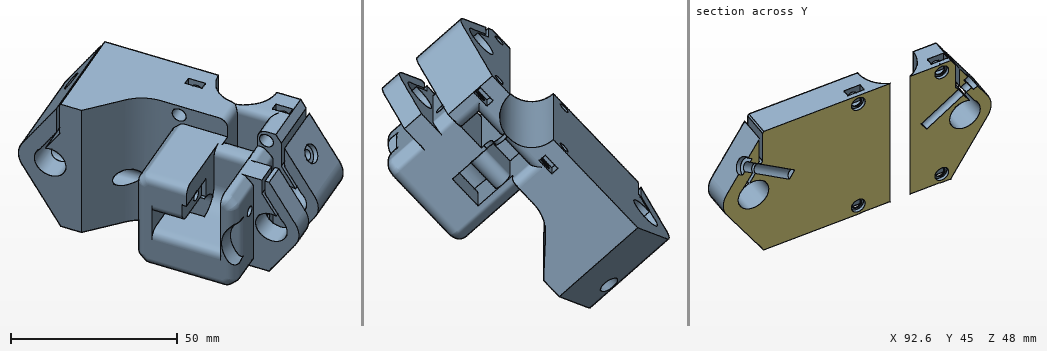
import cadquery as cq
import math

half_height = 24.0
plate_depth = 18.0
arm_depth = 32.0
total_depth = 45.0

bar_middle_x = 0.7
bar_half_spacing = 36.5
bar_hole_radius = 5.2
arm_reach = 46.3
arm_tip_radius = 7.6
shoulder_x = 32.3
clamp_screw_y = -9.0
left_clamp_screw_z = 13.0
right_clamp_screw_z = 12.2
screw_diameter = 3.3
screw_head_diameter = 6.0
clamp_head_depth = 1.65
clamp_screw_length = 20.0
slit_inner_x = 33.4
slit_outer_x = 34.45
slit_inner_offset = 4.0
slit_outer_offset = 5.0

blend_radius = 14.0
blend_end_x = -5.6

trough_x = 14.8
trough_radius = 9.6

box_x = trough_x
box_width = 33.1
box_height = 35.0
box_corner_chamfer = 3.0
box_corner_radius = 2.0
edge_radius = 3.1

lug_back = 25.0

strap_left = 3.7
strap_right = 26.3
plate_channel_left = 16.4
box_split_x = 15.1
channel_back = 11.0
mouth_radius = 3.0
ridge_back = 19.0
ridge_front = 25.0
slot_half_height = 3.5
bend_radius = arm_depth - ridge_front
left_channel_top = 0.0

ridge_screw_y = -22.0
ridge_screw_z = -6.5
ridge_head_depth = 2.0
pin_y = -34.9
pin_z = 6.5
pin_nut_diameter = 6.9
pin_nut_depth = 10.0
pin_boss_diameter = 4.6
pin_boss_height = 1.2
washer_notch_radius = 4.0
washer_notch_depth = 1.4

mount_spacing_x = 28.8
mount_z = 20.5
mount_diameter = 3.4
mount_entry_diameter = 4.6
mount_entry_depth = 10.0
nut_width = 5.6
nut_thickness = 2.5
nut_back = 5.1
nut_pocket_depth = 6.3

clearance_depth = 4.5
clearance_radius = 9.6
clearance_front_radius = 10.5
clearance_edge_radius = 1.2

ridge_radius = (ridge_front - ridge_back) / 2
ridge_middle_y = -(ridge_back + ridge_front) / 2

box_left = box_x - box_width / 2
box_right = box_x + box_width / 2
box_half_height = box_height / 2

arm_tip_x = arm_reach - arm_tip_radius
right_bar_x = bar_middle_x + bar_half_spacing
shoulder_dx = shoulder_x - arm_tip_x
shoulder_distance = math.hypot(shoulder_dx, half_height)
tangent_angle = math.atan2(half_height, shoulder_dx) - math.acos(arm_tip_radius / shoulder_distance)
tangent_x = arm_tip_x + arm_tip_radius * math.cos(tangent_angle)
tangent_z = arm_tip_radius * math.sin(tangent_angle)
flank_run = (tangent_x - shoulder_x) / (half_height - tangent_z)


def block(x0, x1, y0, y1, z0, z1):
    """Axis-aligned block between two corners."""
    return cq.Workplane("XY").box(x1 - x0, y1 - y0, z1 - z0, centered=False).translate((x0, y0, z0))


def rod_y(x, z, radius, front, back=0.0):
    """Cylinder along Y from depth `back` to depth `front`."""
    return (cq.Workplane("XZ", origin=(0, -back, 0)).center(x, z)
            .circle(radius).extrude(front - back))


def rod_x(y, z, diameter, x0, x1):
    """Cylinder along X."""
    return cq.Workplane("YZ", origin=(x0, 0, 0)).center(y, z).circle(diameter / 2).extrude(x1 - x0)


def side_outline(depth):
    """Full silhouette with both clamp arms, extruded forward from the back face."""
    return (cq.Workplane("XZ")
            .moveTo(-shoulder_x, half_height).lineTo(shoulder_x, half_height)
            .lineTo(tangent_x, tangent_z)
            .threePointArc((arm_reach, 0), (tangent_x, -tangent_z))
            .lineTo(shoulder_x, -half_height).lineTo(-shoulder_x, -half_height)
            .lineTo(-tangent_x, -tangent_z)
            .threePointArc((-arm_reach, 0), (-tangent_x, tangent_z))
            .close().extrude(depth))


def depth_profile():
    """Plan shape: deep left arm, 45 degree slope, concave blend, then the plate."""
    diagonal = blend_radius * math.sqrt(0.5)
    blend_start_x = blend_end_x - diagonal
    blend_start_y = -plate_depth - (blend_radius - diagonal)
    slope_start_x = blend_start_x - (arm_depth + blend_start_y)
    mid_angle = math.radians(45) / 2
    blend_mid = (blend_end_x - blend_radius * math.sin(mid_angle),
                 -plate_depth - blend_radius * (1 - math.cos(mid_angle)))
    return (cq.Workplane("XY").workplane(offset=-half_height)
            .moveTo(-arm_reach, 0).lineTo(-arm_reach, -arm_depth).lineTo(slope_start_x, -arm_depth)
            .lineTo(blend_start_x, blend_start_y)
            .threePointArc(blend_mid, (blend_end_x, -plate_depth))
            .lineTo(arm_reach, -plate_depth).lineTo(arm_reach, 0)
            .close().extrude(2 * half_height))


def plate():
    """Plate with the left arm and the strap channels, their mouths rounded."""
    body = side_outline(arm_depth).intersect(depth_profile())
    body = body.cut(block(plate_channel_left, strap_right, -plate_depth, -channel_back,
                          -half_height, half_height))
    body = body.cut(block(strap_left, strap_right, -plate_depth, -channel_back,
                          -half_height, left_channel_top))
    margin = 0.1
    for mouth_left, mouth_z in ((plate_channel_left, half_height), (strap_left, -half_height)):
        mouth = cq.selectors.BoxSelector(
            (mouth_left - margin, -plate_depth - margin, mouth_z - margin),
            (strap_right + margin, -channel_back + margin, mouth_z + margin))
        body = body.edges(mouth).fillet(mouth_radius)
    return body.union(channel_divider())


def trough():
    """Half-round trough through the full height of the back face."""
    return (cq.Workplane("XY").workplane(offset=-half_height).center(trough_x, 0)
            .circle(trough_radius).extrude(2 * half_height))


def front_box():
    """Solid box with chamfered, softened corners and a rounded front."""
    body = block(box_left, box_right, -total_depth, -plate_depth, -box_half_height, box_half_height)
    body = body.edges("|Y").chamfer(box_corner_chamfer)
    body = body.faces("<Y").edges().fillet(edge_radius)
    return body.edges("|Y").fillet(box_corner_radius)


def lug():
    """Arm between the box and the right bar, as tall as the box."""
    limits = block(strap_right, arm_reach, -arm_depth, -lug_back,
                   -box_half_height, box_half_height)
    return side_outline(arm_depth).intersect(limits)


def ridge_end(x0, x1, upward):
    """Space left beside the full-round end of the ridge the strap wraps over."""
    sign = 1 if upward else -1
    tip_z = sign * box_half_height
    spring_z = tip_z - sign * ridge_radius
    slab = block(x0, x1, -ridge_front, -ridge_back, min(tip_z, spring_z), max(tip_z, spring_z))
    return slab.cut(rod_x(ridge_middle_y, spring_z, 2 * ridge_radius, x0, x1))


def channel_divider():
    """Wall between the two lower plate channels, its underside an S curve down to the edge."""
    radius = (plate_depth - channel_back) / 2
    middle_y = -(plate_depth + channel_back) / 2
    bend_z = radius - half_height
    shift = radius * math.sqrt(0.5)
    lower_mid = (-channel_back - shift, bend_z - shift)
    upper_mid = (-plate_depth + shift, bend_z + shift)
    mouth_back = mouth_radius - channel_back
    return (cq.Workplane("YZ", origin=(box_split_x, 0, 0))
            .moveTo(mouth_back, left_channel_top).lineTo(mouth_back, -half_height)
            .lineTo(-channel_back, -half_height)
            .threePointArc(lower_mid, (middle_y, bend_z))
            .threePointArc(upper_mid, (-plate_depth, bend_z + radius))
            .lineTo(-plate_depth, left_channel_top)
            .close().extrude(plate_channel_left - box_split_x))


def bend(x0, x1, upward):
    """Passage turning from the front slot along the ridge, with a rounded outer corner."""
    sign = 1 if upward else -1
    z_start = -sign * slot_half_height
    z_spring = z_start + sign * bend_radius
    z_end = sign * box_half_height
    straight = block(x0, x1, -arm_depth, -ridge_front, min(z_spring, z_end), max(z_spring, z_end))
    corner = block(x0, x1, -arm_depth, -ridge_front, min(z_start, z_spring), max(z_start, z_spring))
    return straight.union(corner.intersect(rod_x(-arm_depth, z_spring, 2 * bend_radius, x0, x1)))


def front_slot():
    """Slot in the front face, its top and bottom edges flared outwards."""
    slot = block(strap_left, strap_right, -total_depth, -arm_depth,
                 -slot_half_height, slot_half_height)
    spring_y = -total_depth + edge_radius
    flare_z = slot_half_height + edge_radius
    for sign in (1, -1):
        flare = block(strap_left, strap_right, -total_depth, spring_y,
                      min(sign * slot_half_height, sign * flare_z),
                      max(sign * slot_half_height, sign * flare_z))
        lip = rod_x(spring_y, sign * flare_z, 2 * edge_radius, strap_left, strap_right)
        slot = slot.union(flare.cut(lip))
    return slot


def box_passages():
    """Everything hollow inside the box."""
    hollow = front_slot()
    hollow = hollow.union(bend(strap_left, box_split_x, upward=False))
    hollow = hollow.union(bend(box_split_x, strap_right, upward=True))
    hollow = hollow.union(block(box_split_x, strap_right, -total_depth, -arm_depth,
                                -slot_half_height, box_half_height))
    hollow = hollow.union(ridge_end(strap_left, box_split_x, upward=False))
    upper_end = ridge_end(box_split_x, strap_right, upward=True)
    hollow = hollow.union(upper_end.cut(block(box_split_x, plate_channel_left, ridge_middle_y, 0,
                                              -half_height, half_height)))
    hollow = hollow.union(block(plate_channel_left, strap_right, -ridge_back, -plate_depth,
                                -half_height, half_height))
    hollow = hollow.union(block(strap_left, box_split_x, -ridge_back, -plate_depth,
                                -half_height, left_channel_top))
    hollow = hollow.union(block(box_split_x - washer_notch_depth, box_split_x,
                                -total_depth, pin_y + washer_notch_radius,
                                slot_half_height, pin_z + washer_notch_radius))
    return hollow


def bar_clearance():
    """Round recess in the box front beside the right bar, widening towards the front."""
    return (cq.Workplane("XZ", origin=(0, clearance_depth - total_depth, 0)).center(right_bar_x, 0)
            .circle(clearance_radius).workplane(offset=clearance_depth)
            .circle(clearance_front_radius).loft())


def clearance_edge():
    """Material removed to round the open edge of the recess floor at the box side."""
    floor_y = clearance_depth - total_depth
    centre_x = box_right - clearance_edge_radius
    centre_y = floor_y + clearance_edge_radius
    corner = block(centre_x, box_right, floor_y, centre_y, -clearance_radius, clearance_radius)
    rounding = (cq.Workplane("XY").workplane(offset=-clearance_radius).center(centre_x, centre_y)
                .circle(clearance_edge_radius).extrude(2 * clearance_radius))
    return corner.cut(rounding).intersect(rod_y(right_bar_x, 0, clearance_radius, total_depth))


def clamp_slit(side):
    """Slit from the top edge, bending parallel to the arm flank, into the bar hole."""
    normal_x = math.cos(tangent_angle)
    normal_z = math.sin(tangent_angle)

    def edge(x, offset):
        """Top, bend and foot of one slit wall, measured from the point between the bars."""
        bend_z = (offset - (x - bar_half_spacing) * normal_x) / normal_z
        foot = (bar_half_spacing + offset * normal_x, offset * normal_z)
        return [(x, half_height), (x, bend_z), foot]

    inner = edge(slit_inner_x, slit_inner_offset)
    outer = edge(slit_outer_x, slit_outer_offset)
    outline = [(bar_middle_x + side * x, z) for x, z in inner + outer[::-1]]
    return cq.Workplane("XZ").polyline(outline).close().extrude(arm_depth)


def clamp_screw(side, screw_z):
    """Screw hole with a sunk head, square to the upper flank of an arm."""
    face_x = side * (shoulder_x + flank_run * (half_height - screw_z))
    length = math.hypot(1, flank_run)
    inward = cq.Vector(-side / length, 0, -flank_run / length)
    start = cq.Vector(face_x, clamp_screw_y, screw_z)
    outside = start - inward * screw_head_diameter
    shank = cq.Solid.makeCylinder(screw_diameter / 2, clamp_screw_length, start, inward)
    head = cq.Solid.makeCylinder(screw_head_diameter / 2, screw_head_diameter + clamp_head_depth,
                                 outside, inward)
    return cq.Workplane(shank).union(cq.Workplane(head))


def mounting_hole(x, z):
    """Stepped hole from the front plus a nut pocket open at the nearest edge."""
    hole = rod_y(x, z, mount_diameter / 2, plate_depth)
    hole = hole.union(rod_y(x, z, mount_entry_diameter / 2, plate_depth,
                            plate_depth - mount_entry_depth))
    edge_z = math.copysign(half_height, z)
    inner_z = edge_z - math.copysign(nut_pocket_depth, z)
    pocket = block(x - nut_width / 2, x + nut_width / 2, -nut_back - nut_thickness, -nut_back,
                   min(edge_z, inner_z), max(edge_z, inner_z))
    return hole.union(pocket)


body = plate().cut(trough())
box = front_box().cut(bar_clearance()).cut(clearance_edge())
body = body.union(box).union(lug())
body = body.cut(box_passages())

body = body.union(rod_x(pin_y, pin_z, pin_boss_diameter, strap_right - pin_boss_height, strap_right))
body = body.cut(rod_x(pin_y, pin_z, screw_diameter, box_left, box_right))
body = body.cut(cq.Workplane("YZ", origin=(box_left, 0, 0)).center(pin_y, pin_z)
                .transformed(rotate=(0, 0, 90))
                .polygon(6, pin_nut_diameter).extrude(pin_nut_depth))
body = body.cut(rod_x(ridge_screw_y, ridge_screw_z, screw_diameter, box_left, box_right))
body = body.cut(rod_x(ridge_screw_y, ridge_screw_z, screw_head_diameter,
                      -arm_reach, box_left + ridge_head_depth))

for side, screw_z in ((-1, left_clamp_screw_z), (1, right_clamp_screw_z)):
    body = body.cut(rod_y(bar_middle_x + side * bar_half_spacing, 0, bar_hole_radius, arm_depth))
    body = body.cut(clamp_slit(side))
    body = body.cut(clamp_screw(side, screw_z))

for side in (-1, 1):
    for z in (-mount_z, mount_z):
        body = body.cut(mounting_hole(box_x + side * mount_spacing_x / 2, z))

result = body